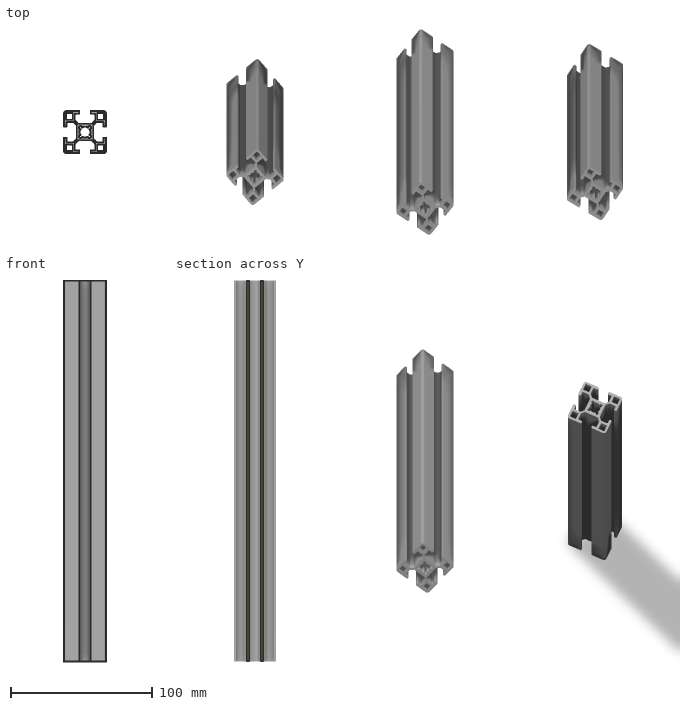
import cadquery as cq

length = 270.0
side = 30.0
corner_radius = 2.0

slot_opening = 7.8
lip_thickness = 2.0
mouth_radius = 0.4
slot_corner_radius = 0.5

outer_wall = 1.6
inner_wall = 1.67
chamber_side = 4.5

core_side = 12.0
web_thickness = 1.4

bore_diameter = 7.5
lobe_diameter = 2.2
lobe_spacing = 6.2

half_side = side / 2
half_opening = slot_opening / 2
half_core = core_side / 2
lip_underside = half_side - lip_thickness
half_slot_width = half_side - outer_wall - chamber_side - inner_wall
web_offset = web_thickness / 2 * 2**0.5


def mirrored(points):
    """The given points followed by their mirror images across the YZ plane, in reverse order."""
    return points + [(-x, y) for x, y in reversed(points)]


def round_upright_edges(body, points, radius):
    """Fillet the vertical edges of the body that stand at the given (x, y) points."""
    upright = body.edges("|Z")
    chosen = [
        upright.edges(cq.selectors.NearestToPointSelector((x, y, length / 2))).val()
        for x, y in points
    ]
    return body.newObject(chosen).fillet(radius)


def square_pattern(spacing):
    """Workplane holding four points, one on each profile diagonal, spaced along X and Y."""
    return cq.Workplane("XY").rect(spacing, spacing, forConstruction=True).vertices()


def make_slot():
    """Space of the T-slot on the +Y side, narrowing along the webs down to the core."""
    mouth = (half_opening, half_side)
    slot_corners = [
        (half_opening, lip_underside),
        (half_slot_width, lip_underside),
        (half_slot_width, half_slot_width + web_offset),
        (half_core - web_offset, half_core),
    ]
    outline = mirrored([mouth] + slot_corners)
    slot = cq.Workplane("XY").polyline(outline).close().extrude(length)
    return round_upright_edges(slot, mirrored(slot_corners), slot_corner_radius)


def make_chambers():
    """Square hollows running through the corner blocks."""
    spacing = side - 2 * outer_wall - chamber_side
    return square_pattern(spacing).rect(chamber_side, chamber_side).extrude(length)


def make_core_bore():
    """Central round bore together with its four corner lobes."""
    lobes = square_pattern(lobe_spacing).circle(lobe_diameter / 2).extrude(length)
    return cq.Workplane("XY").circle(bore_diameter / 2).extrude(length).union(lobes)


bar = cq.Workplane("XY").rect(side, side).extrude(length)
bar = bar.edges("|Z").fillet(corner_radius)

slot = make_slot()
for quarter_turn in range(4):
    bar = bar.cut(slot.rotate((0, 0, 0), (0, 0, 1), 90 * quarter_turn))

mouth_edges = []
for across in (-half_opening, half_opening):
    for outward in (-half_side, half_side):
        mouth_edges += [(across, outward), (outward, across)]
bar = round_upright_edges(bar, mouth_edges, mouth_radius)

result = bar.cut(make_chambers()).cut(make_core_bore())